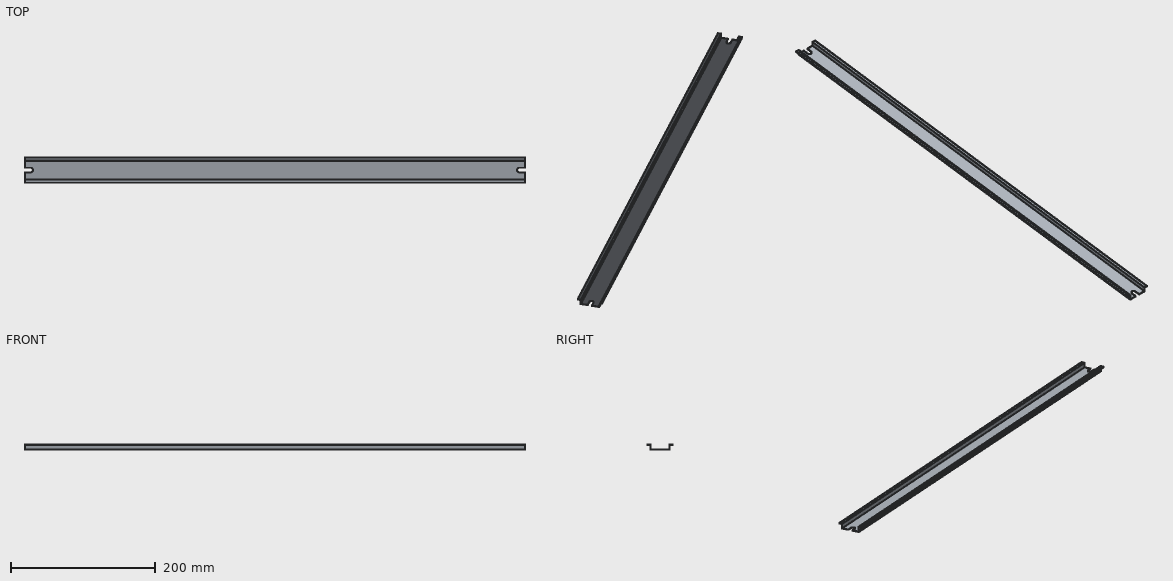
import cadquery as cq

length = 691.0
rail_width = 35.0
rail_height = 7.5
thickness = 1.0
channel_width = 27.0
slot_width = 6.0
slot_depth = 11.0


def rail_body():
    """Hat-shaped sheet section, extruded along the rail."""
    half_rail = rail_width / 2
    half_channel = channel_width / 2
    half_inside = half_channel - thickness
    flange_underside = rail_height - thickness
    right_half = [
        (half_channel, 0),
        (half_channel, flange_underside),
        (half_rail, flange_underside),
        (half_rail, rail_height),
        (half_inside, rail_height),
        (half_inside, thickness),
    ]
    left_half = [(-y, z) for y, z in reversed(right_half)]
    return (
        cq.Workplane("YZ")
        .polyline(right_half + left_half)
        .close()
        .extrude(length / 2, both=True)
    )


def end_slot(side):
    """Round-ended slot through the floor, open at one end of the rail."""
    return (
        cq.Workplane("XY")
        .center(side * length / 2, 0)
        .slot2D(2 * slot_depth, slot_width)
        .extrude(rail_height)
    )


result = rail_body()
for side in (-1, 1):
    result = result.cut(end_slot(side))